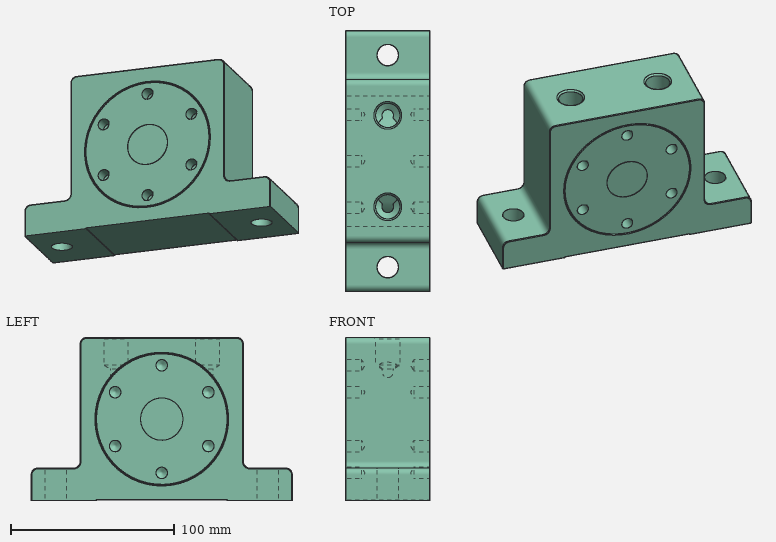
import cadquery as cq
import math

width = 52.0
foot_length = 160.0
height = 100.0
body_length = 100.0
foot_height = 20.0
corner_radius = 4.0
edge_chamfer = 0.5

relief_length = 80.0
relief_depth = 0.5

insert_radius = 40.5
seam_chamfer = 0.5
hub_diameter = 26.0
hub_recess = 0.3

cover_hole_diameter = 7.0
cover_hole_depth = 10.0
cover_hole_circle_radius = 33.0
cover_hole_count = 6

mount_hole_diameter = 13.0
mount_hole_offset = 65.0

port_offset = 28.0
port_diameter = 14.9
port_depth = 17.0
port_mouth_diameter = 17.0
port_bore_diameter = 7.0

drill_point_angle = 118.0

half_width = width / 2
top = height / 2
bottom = -top
drill_slope = 1 / math.tan(math.radians(drill_point_angle / 2))


def make_housing():
    """Inverted-T block with rounded long edges and chamfered side outlines."""
    foot = cq.Workplane("XY").box(width, foot_length, foot_height)
    foot = foot.translate((0, 0, bottom + foot_height / 2))
    body = cq.Workplane("XY").box(width, body_length, height)
    block = foot.union(body)

    block = block.edges("|X and (not <Z)").fillet(corner_radius)

    block = block.faces("<X or >X").edges("not <Z").chamfer(edge_chamfer)

    relief = cq.Workplane("XY").box(width, relief_length, 2 * relief_depth)
    return block.cut(relief.translate((0, 0, bottom)))


def revolve_about_x(points):
    """Revolve a closed outline of (x, radius) points about the bore axis."""
    return cq.Workplane("XY").polyline(points).close().revolve(360, (0, 0, 0), (1, 0, 0))


def make_face_cut():
    """V-groove, hub recess and blind holes cut into the -X side."""
    face = -half_width
    cut = revolve_about_x([
        (face, insert_radius - seam_chamfer),
        (face + seam_chamfer, insert_radius),
        (face, insert_radius + seam_chamfer),
    ])
    hub = cq.Workplane("YZ", origin=(face, 0, 0)).circle(hub_diameter / 2).extrude(hub_recess)
    cut = cut.union(hub)

    radius = cover_hole_diameter / 2
    tip = cover_hole_depth + radius * drill_slope
    hole = revolve_about_x([
        (face, 0),
        (face, radius),
        (face + cover_hole_depth, radius),
        (face + tip, 0),
    ]).translate((0, 0, cover_hole_circle_radius))
    for i in range(cover_hole_count):
        cut = cut.union(hole.rotate((0, 0, 0), (1, 0, 0), i * 360 / cover_hole_count))
    return cut


def make_port():
    """Chamfered, stepped port that stops on the round insert."""
    mouth = port_mouth_diameter / 2
    outer = port_diameter / 2
    inner = port_bore_diameter / 2
    shoulder = top - port_depth
    port = (
        cq.Workplane("XZ")
        .polyline([
            (0, top),
            (mouth, top),
            (outer, top - (mouth - outer)),
            (outer, shoulder),
            (inner, shoulder - (outer - inner) * drill_slope),
            (inner, 0),
            (0, 0),
        ])
        .close()
        .revolve(360, (0, 0, 0), (0, 1, 0))
        .translate((0, port_offset, 0))
    )
    insert = cq.Workplane("YZ").circle(insert_radius).extrude(half_width, both=True)
    return port.cut(insert)


def make_mount_hole():
    """Plain through hole for one foot."""
    hole = cq.Workplane("XY", origin=(0, mount_hole_offset, bottom))
    return hole.circle(mount_hole_diameter / 2).extrude(height)


face_cut = make_face_cut()
port = make_port()
mount_hole = make_mount_hole()

result = make_housing()
result = result.cut(face_cut).cut(face_cut.mirror("YZ"))
for feature in (port, mount_hole):
    result = result.cut(feature).cut(feature.mirror("XZ"))